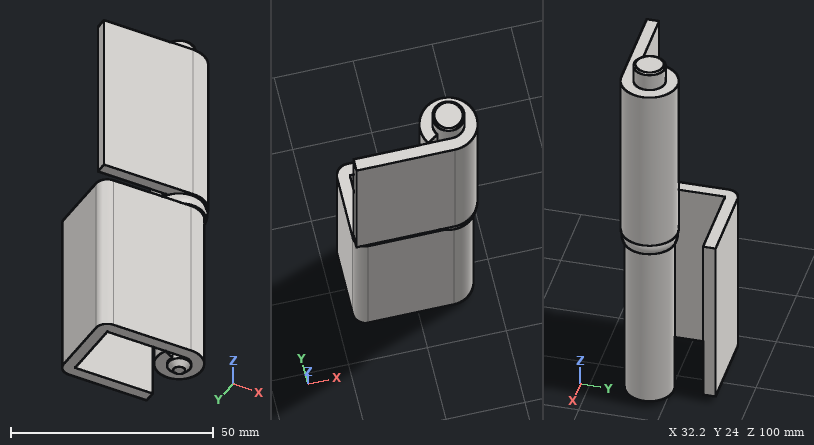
import cadquery as cq
import math

sheet = 3.2
leaf_height = 45.0
leaf_reach = 25.0
upper_pin_radius = 4.0
lower_pin_radius = 3.0
slit_angle = 0.5

axis_x = leaf_reach
axis_y = upper_pin_radius + sheet

channel_back_y = 24.0
back_wall_end_x = 25.0
corner_radius = sheet

pin_height = 100.0
tip_height = 2.0
tip_cone_height = 1.5
tip_end_radius = 1.5
top_chamfer = 0.5

ring_height = 3.0
ring_radius = 7.0
ring_bulge = 0.4

lower_leaf_z = tip_height
ring_z = lower_leaf_z + leaf_height
upper_leaf_z = ring_z + ring_height


def rolled_plate(bore_radius, base_z):
    """Flat plate along X whose end is rolled around the hinge axis."""
    outer_radius = bore_radius + sheet
    plate_outer_y = axis_y - outer_radius
    plate_inner_y = axis_y - bore_radius
    closing_angle = math.degrees(math.asin(bore_radius / outer_radius))
    curl_end = math.radians(180 + closing_angle - slit_angle)
    curl_middle = math.radians(45)

    def on_circle(radius, angle):
        return (axis_x + radius * math.cos(angle), axis_y + radius * math.sin(angle))

    return (
        cq.Workplane("XY")
        .workplane(offset=base_z)
        .moveTo(0, plate_outer_y)
        .lineTo(axis_x, plate_outer_y)
        .threePointArc(on_circle(outer_radius, curl_middle), on_circle(outer_radius, curl_end))
        .lineTo(*on_circle(bore_radius, curl_end))
        .threePointArc(on_circle(bore_radius, curl_middle), (axis_x, plate_inner_y))
        .lineTo(0, plate_inner_y)
        .close()
        .extrude(leaf_height)
    )


def make_upper_leaf():
    return rolled_plate(upper_pin_radius, upper_leaf_z)


def make_lower_leaf():
    """Rolled front plate, continued into a side wall and a back wall."""
    front_y = axis_y - lower_pin_radius - sheet
    depth = channel_back_y - front_y
    side_wall = cq.Workplane("XY").box(sheet, depth, leaf_height, centered=False)
    back_wall = (
        cq.Workplane("XY")
        .box(back_wall_end_x, sheet, leaf_height, centered=False)
        .translate((0, depth - sheet, 0))
    )
    walls = side_wall.union(back_wall).translate((0, front_y, lower_leaf_z))
    leaf = rolled_plate(lower_pin_radius, lower_leaf_z).union(walls)
    return leaf.edges("|Z and <X").fillet(corner_radius)


def revolved_about_hinge(profile):
    """Revolve a closed radius-height profile into a body on the hinge axis."""
    return profile.revolve(360, (0, 0, 0), (0, 1, 0)).translate((axis_x, axis_y, 0))


def make_ring():
    """Bearing ring with an arched rim, resting on the lower leaf."""
    end_radius = ring_radius - ring_bulge
    profile = (
        cq.Workplane("XZ")
        .moveTo(lower_pin_radius, ring_z)
        .lineTo(end_radius, ring_z)
        .threePointArc((ring_radius, ring_z + ring_height / 2), (end_radius, upper_leaf_z))
        .lineTo(lower_pin_radius, upper_leaf_z)
        .close()
    )
    return revolved_about_hinge(profile)


def make_pin():
    """Stepped pin with its shoulder on the ring and a conical lower tip."""
    profile = (
        cq.Workplane("XZ")
        .lineTo(tip_end_radius, 0)
        .lineTo(lower_pin_radius, tip_cone_height)
        .lineTo(lower_pin_radius, upper_leaf_z)
        .lineTo(upper_pin_radius, upper_leaf_z)
        .lineTo(upper_pin_radius, pin_height - top_chamfer)
        .lineTo(upper_pin_radius - top_chamfer, pin_height)
        .lineTo(0, pin_height)
        .close()
    )
    return revolved_about_hinge(profile)


upper_leaf = make_upper_leaf()
lower_leaf = make_lower_leaf()
ring = make_ring()
pin = make_pin()

result = cq.Compound.makeCompound([upper_leaf.val(), lower_leaf.val(), ring.val(), pin.val()])